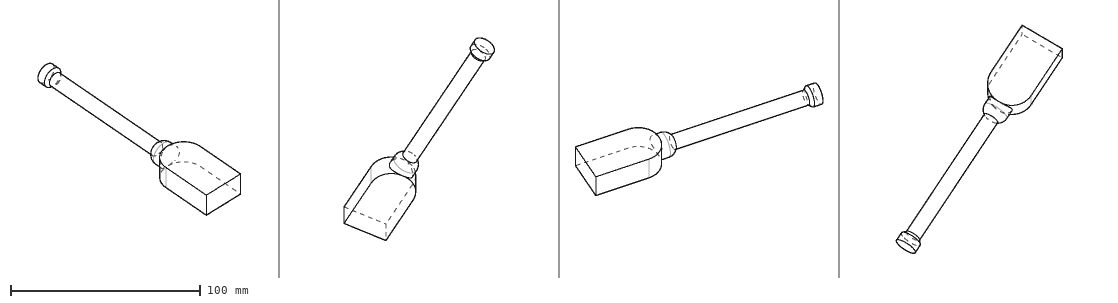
import cadquery as cq

total_length = 136.0
block_width = 25.0
block_height = 14.0

head_radius = 12.0 / 2
head_length = 5.0
head_taper_end = 7.1
shaft_radius = 8.5 / 2

collar_radius = block_height / 2
collar_cylinder_start = 89.8
collar_nose_radius = 3.0 / 2
collar_fillet_radius = collar_radius - collar_nose_radius
collar_start = collar_cylinder_start - collar_fillet_radius

block_start = 93.0
block_length = total_length - block_start
block_corner_radius = 12.0
stem_end = block_start + block_corner_radius


def make_shaft():
    """Shaft with its tapered head, reaching into the block."""
    return (
        cq.Workplane("XY")
        .moveTo(0, 0)
        .lineTo(0, head_radius)
        .lineTo(head_length, head_radius)
        .lineTo(head_taper_end, shaft_radius)
        .lineTo(stem_end, shaft_radius)
        .lineTo(stem_end, 0)
        .close()
        .revolve(360, (0, 0, 0), (1, 0, 0))
    )


def make_collar():
    """Cylinder reaching into the block, with a rounded shoulder towards the shaft."""
    return (
        cq.Workplane("YZ", origin=(collar_start, 0, 0))
        .circle(collar_radius)
        .extrude(stem_end - collar_start)
        .faces("<X")
        .edges()
        .fillet(collar_fillet_radius)
    )


def make_block():
    """Flat block, centred on the stem axis, with the corners facing the stem rounded."""
    return (
        cq.Workplane("XY")
        .box(block_length, block_width, block_height, centered=(False, True, True))
        .edges("|Z and <X")
        .fillet(block_corner_radius)
        .translate((block_start, 0, 0))
    )


result = make_shaft().union(make_collar()).union(make_block())